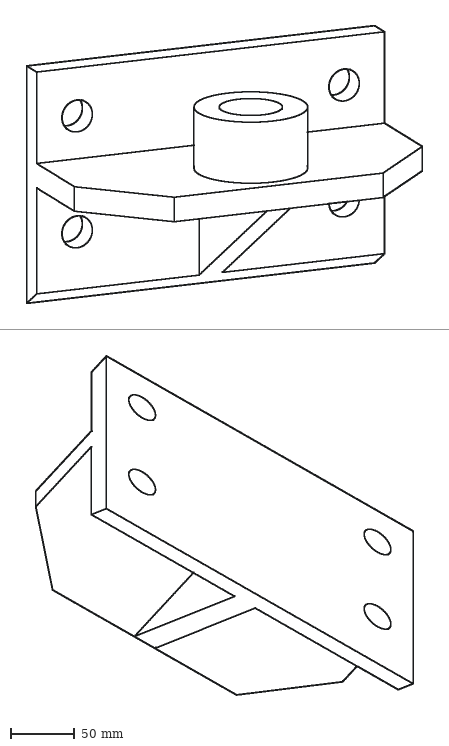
import cadquery as cq

length = 300.0
height = 195.0
depth = 155.0
wall = 20.0
shelf_top = 120.0
corner_cut = 60.0
boss_diameter = 90.0
bore_diameter = 50.0
boss_x = 100.0
boss_top = 170.0
bolt_diameter = 26.0
bolt_spacing_y = 230.0
bolt_spacing_z = 95.0
lower_bolt_z = 60.0

shelf_bottom = shelf_top - wall
boss_height = boss_top - shelf_top
slope = shelf_bottom / depth


def extrude_across(points, width):
    """Extrude an XZ outline to the given width, centred on Y = 0."""
    return cq.Workplane("XZ").polyline(points).close().extrude(width / 2, both=True)


plate = extrude_across([(0, 0), (wall, slope * wall), (wall, height), (0, height)], length)
bolt_z = lower_bolt_z + bolt_spacing_z / 2
bolt_holes = (
    cq.Workplane("YZ")
    .center(0, bolt_z)
    .rarray(bolt_spacing_y, bolt_spacing_z, 2, 2)
    .circle(bolt_diameter / 2)
    .extrude(wall)
)
plate = plate.cut(bolt_holes)

shelf = (
    cq.Workplane("XY")
    .box(depth, length, wall, centered=(False, True, False))
    .edges("|Z and >X")
    .chamfer(corner_cut)
    .translate((0, 0, shelf_bottom))
)

gusset = extrude_across([(0, 0), (depth, shelf_bottom), (0, shelf_bottom)], wall)

boss = (
    cq.Workplane("XY", origin=(boss_x, 0, shelf_top))
    .circle(boss_diameter / 2)
    .circle(bore_diameter / 2)
    .extrude(boss_height)
)

result = plate.union(shelf).union(gusset).union(boss)